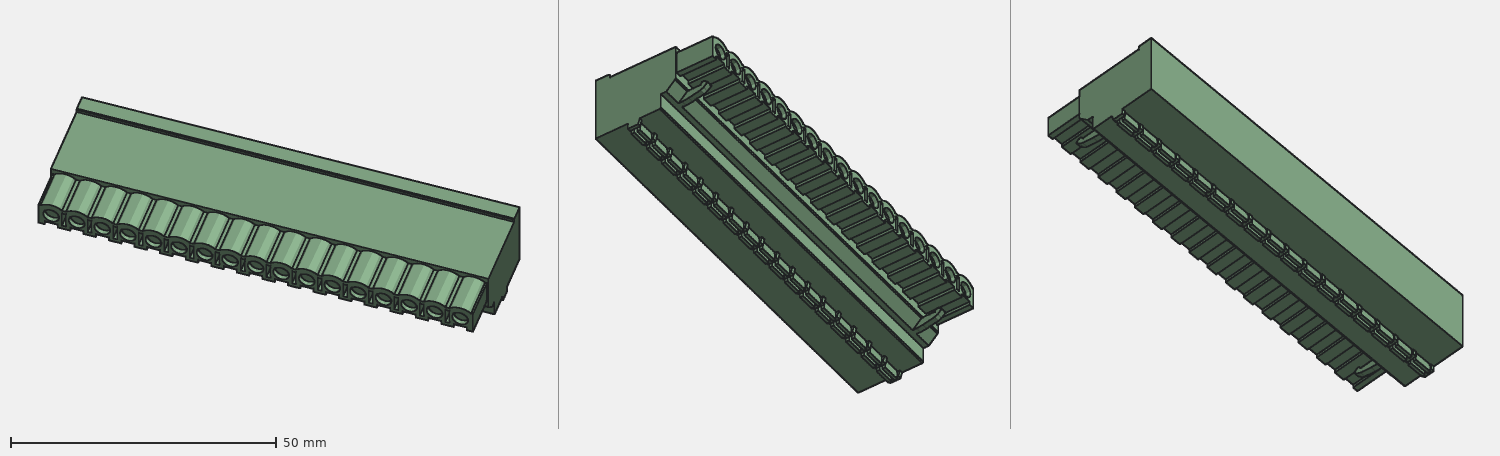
import cadquery as cq


length = 87.0
total_depth = 26.6
total_height = 16.7
foot_height = 2.0
housing_height = total_height - foot_height
lip_depth = 3.2
lip_height = 0.8
lip_chamfer = 0.2
upper_depth = 18.35
lower_depth = 15.0
overhang_z = 3.65
slope_depth = 16.2
slope_top_z = 6.0
slope_edge_setback = 0.2
slope_edge_height = 0.35
floor_chamfer = 0.3

pole_count = 17
row_end_margin = 0.31
row_width = length - 2 * row_end_margin
pitch = row_width / pole_count
pole_centers = [(i - (pole_count - 1) / 2) * pitch for i in range(pole_count)]
joint_centers = [(i - pole_count / 2) * pitch for i in range(pole_count + 1)]

socket_depth = total_depth - upper_depth
socket_bottom_z = 7.6
socket_shoulder_z = 12.6
socket_crown_z = 13.4
valley_width = 0.8
arch_half_width = (pitch - valley_width) / 2
hole_diameter = 3.1
hole_depth = 1.05
hole_z = 10.4
slot_width = 0.8
slot_bottom_z = 8.4
slot_top_z = 11.8
notch_width = 2.6
notch_height = 0.8

latch_width = 1.3
latch_offset = 38.8
latch_top_z = 5.7
latch_reach = 22.9
latch_tip_z = 5.65
hook_top_z = 6.35
hook_rear_depth = 21.2
hook_flat_start = 21.6
hook_flat_end = 22.2
latch_belly = [(17.05, overhang_z), (18.5, 3.8), (21.2, 4.4), (21.9, 4.8)]

contact_width = 3.9
contact_blade = 0.7
contact_rear_depths = (7.6, 8.9)
spacer_width = 0.9
spacer_height = 1.3
spacer_rear_depth = 7.4
spacer_top_depth = 10.1
spacer_bottom_depth = 9.7


def side_extrusion(outline, x_center, width):
    """Extrude a (depth, z) outline along X."""
    points = [(-depth, z) for depth, z in outline]
    return (
        cq.Workplane("YZ", origin=(x_center - width / 2, 0, 0))
        .polyline(points)
        .close()
        .extrude(width)
    )


def make_housing():
    deck_z = housing_height - lip_height
    return side_extrusion(
        [
            (0, 0),
            (lower_depth - floor_chamfer, 0),
            (lower_depth, floor_chamfer),
            (lower_depth, overhang_z),
            (slope_depth, overhang_z),
            (upper_depth - slope_edge_setback, slope_top_z - slope_edge_height),
            (upper_depth, slope_top_z),
            (upper_depth, deck_z),
            (lip_depth, deck_z),
            (lip_depth, housing_height - lip_chamfer),
            (lip_depth - lip_chamfer, housing_height),
            (0, housing_height),
        ],
        0,
        length,
    )


def make_sockets():
    """Scalloped block of sockets with wire holes, slots and bottom notches."""
    front = cq.Workplane("XZ", origin=(0, -total_depth, 0))
    half_row = row_width / 2
    outline = front.moveTo(-half_row, socket_bottom_z).lineTo(-half_row, socket_shoulder_z)
    for x in pole_centers:
        outline = outline.lineTo(x - arch_half_width, socket_shoulder_z).threePointArc(
            (x, socket_crown_z), (x + arch_half_width, socket_shoulder_z)
        )
    outline = outline.lineTo(half_row, socket_shoulder_z).lineTo(half_row, socket_bottom_z)
    block = outline.close().extrude(-socket_depth)

    holes = (
        front.pushPoints([(x, hole_z) for x in pole_centers])
        .circle(hole_diameter / 2)
        .extrude(-hole_depth)
    )
    notches = (
        front.pushPoints([(x, socket_bottom_z + notch_height / 2) for x in pole_centers])
        .rect(notch_width, notch_height)
        .extrude(-socket_depth)
    )
    slots = (
        front.pushPoints([(x, (slot_bottom_z + slot_top_z) / 2) for x in joint_centers[1:-1]])
        .rect(slot_width, slot_top_z - slot_bottom_z)
        .extrude(-socket_depth)
    )
    return block.cut(holes).cut(notches).cut(slots)


def make_latch(x_center):
    """Hook that springs forward from the sloped face of the housing."""
    return side_extrusion(
        [
            (lower_depth, overhang_z),
            *latch_belly,
            (latch_reach, latch_tip_z),
            (hook_flat_end, hook_top_z),
            (hook_flat_start, hook_top_z),
            (hook_rear_depth, latch_top_z),
            (lower_depth, latch_top_z),
        ],
        x_center,
        latch_width,
    )


def make_contacts():
    """Twin contact blades hanging under every pole."""
    blade_centers = [(x, -rear - contact_blade / 2) for x in pole_centers for rear in contact_rear_depths]
    return (
        cq.Workplane("XY")
        .pushPoints(blade_centers)
        .rect(contact_width, contact_blade)
        .extrude(-foot_height)
    )


def make_spacer(x_joint):
    """Tapered foot between neighbouring poles, trimmed at the housing ends."""
    left = max(x_joint - spacer_width / 2, -length / 2)
    right = min(x_joint + spacer_width / 2, length / 2)
    return side_extrusion(
        [
            (spacer_rear_depth, 0),
            (spacer_top_depth, 0),
            (spacer_bottom_depth, -spacer_height),
            (spacer_rear_depth, -spacer_height),
        ],
        (left + right) / 2,
        right - left,
    )


result = make_housing().union(make_sockets()).union(make_contacts())
for side in (-1, 1):
    result = result.union(make_latch(side * latch_offset))
for joint in joint_centers:
    result = result.union(make_spacer(joint))